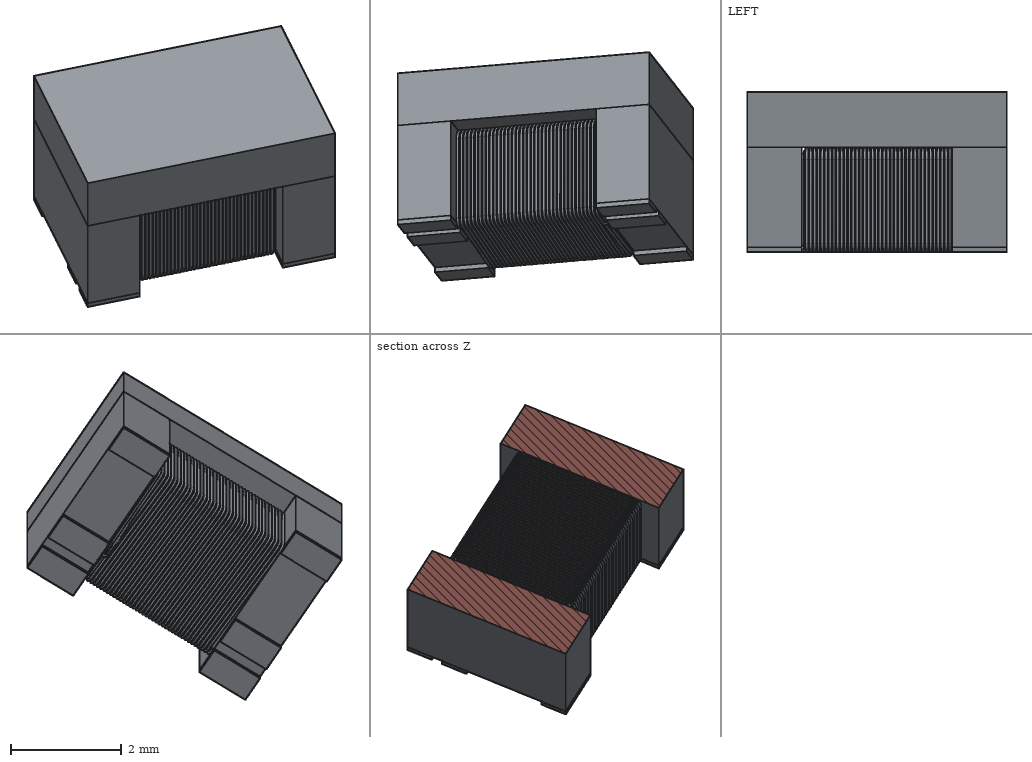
import cadquery as cq
import math

WIDTH = 3.22
LENGTH = 4.7
HEIGHT = 2.9

COVER_HEIGHT = 1.0
FLANGE_LENGTH = 0.99
PAD_WIDTH = 0.5
PAD_GAP = 0.2
PAD_HEIGHT = 0.09
BAR_WIDTH = 2.34
BAR_BOTTOM = 0.105
BAR_TOP = 1.79
BAR_BOTTOM_RADIUS = 0.055
BAR_TOP_RADIUS = 0.115

WIRE_DIAMETER = 0.05
TURN_COUNT = 38
LAYER_SPAN = 2.59
OUTER_FIRST_Y = 1.27
LEAD_BEND_RADIUS = 0.04
SHIFT_BEND_REACH = 0.04

CORE_TOP = HEIGHT - COVER_HEIGHT
FLANGE_FACE_Y = LENGTH / 2 - FLANGE_LENGTH
FLANGE_CENTER_Y = (LENGTH - FLANGE_LENGTH) / 2
SIDE_PAD_X = (WIDTH - PAD_WIDTH) / 2
MIDDLE_PAD_X = SIDE_PAD_X - PAD_WIDTH - PAD_GAP
RUN_END_X = BAR_WIDTH / 2 - BAR_BOTTOM_RADIUS
TURN_PITCH = LAYER_SPAN / (TURN_COUNT - 1)
INNER_FIRST_Y = OUTER_FIRST_Y + TURN_PITCH / 2
INNER_OFFSET = WIRE_DIAMETER / 2
OUTER_OFFSET = INNER_OFFSET + WIRE_DIAMETER


def box_on(z_bottom, size_x, size_y, size_z, x=0.0, y=0.0):
    """Box centred at x, y and standing on the level z_bottom."""
    return cq.Workplane("XY", origin=(x, y, z_bottom)).box(
        size_x, size_y, size_z, centered=(True, True, False)
    )


def make_cover():
    """Flat plate lying on top of both flanges."""
    return box_on(CORE_TOP, WIDTH, LENGTH, COVER_HEIGHT)


def make_core():
    """Drum core: two end flanges joined by a bar with rounded long edges."""
    bar = box_on(BAR_BOTTOM, BAR_WIDTH, 2 * FLANGE_FACE_Y, BAR_TOP - BAR_BOTTOM)
    bar = bar.edges("|Y and <Z").fillet(BAR_BOTTOM_RADIUS)
    bar = bar.edges("|Y and >Z").fillet(BAR_TOP_RADIUS)
    core = bar
    for side in (-1, 1):
        flange = box_on(
            PAD_HEIGHT, WIDTH, FLANGE_LENGTH, CORE_TOP - PAD_HEIGHT, y=side * FLANGE_CENTER_Y
        )
        core = core.union(flange)
    return core


def make_pad(x, y):
    """Terminal pad under a flange."""
    return box_on(0, PAD_WIDTH, FLANGE_LENGTH, PAD_HEIGHT, x, y)


def corner_arc(center_x, center_z, y, radius, x_sign, z_sign, upward):
    """Quarter circle around one corner of the bar, travelled upward or downward."""
    diagonal = radius * math.sqrt(0.5)
    side_point = cq.Vector(center_x + x_sign * radius, y, center_z)
    middle = cq.Vector(center_x + x_sign * diagonal, y, center_z + z_sign * diagonal)
    level_point = cq.Vector(center_x, y, center_z + z_sign * radius)
    starts_level = (z_sign < 0) == upward
    start, end = (level_point, side_point) if starts_level else (side_point, level_point)
    return cq.Edge.makeThreePointArc(start, middle, end)


def turn_rise(y, offset):
    """Part of a turn from the bottom of the -X side, over the bar, to the bottom of the +X side."""
    low_radius = BAR_BOTTOM_RADIUS + offset
    high_radius = BAR_TOP_RADIUS + offset
    high_x = BAR_WIDTH / 2 - BAR_TOP_RADIUS
    low_z = BAR_BOTTOM + BAR_BOTTOM_RADIUS
    high_z = BAR_TOP - BAR_TOP_RADIUS
    side_x = BAR_WIDTH / 2 + offset
    top_z = BAR_TOP + offset
    return [
        corner_arc(-RUN_END_X, low_z, y, low_radius, -1, -1, True),
        cq.Edge.makeLine(cq.Vector(-side_x, y, low_z), cq.Vector(-side_x, y, high_z)),
        corner_arc(-high_x, high_z, y, high_radius, -1, 1, True),
        cq.Edge.makeLine(cq.Vector(-high_x, y, top_z), cq.Vector(high_x, y, top_z)),
        corner_arc(high_x, high_z, y, high_radius, 1, 1, False),
        cq.Edge.makeLine(cq.Vector(side_x, y, high_z), cq.Vector(side_x, y, low_z)),
        corner_arc(RUN_END_X, low_z, y, low_radius, 1, -1, False),
    ]


def bottom_run(start_y, end_y, offset):
    """Run under the bar toward -X: a slanted straight between two gentle bends."""
    run_z = BAR_BOTTOM - offset
    corner_x = RUN_END_X - SHIFT_BEND_REACH
    slant = math.atan2(start_y - end_y, 2 * corner_x)
    reach_x = SHIFT_BEND_REACH * math.cos(slant)
    reach_y = SHIFT_BEND_REACH * math.sin(slant)
    run_start = cq.Vector(RUN_END_X, start_y, run_z)
    slant_start = cq.Vector(corner_x - reach_x, start_y - reach_y, run_z)
    slant_end = cq.Vector(reach_x - corner_x, end_y + reach_y, run_z)
    run_end = cq.Vector(-RUN_END_X, end_y, run_z)
    slant_direction = slant_end - slant_start
    return [
        cq.Edge.makeTangentArc(run_start, cq.Vector(-1, 0, 0), slant_start),
        cq.Edge.makeLine(slant_start, slant_end),
        cq.Edge.makeTangentArc(slant_end, slant_direction, run_end),
    ]


def straight_start(first_y, offset):
    """Plain first run under the bar."""
    run_z = BAR_BOTTOM - offset
    run_start = cq.Vector(RUN_END_X, first_y, run_z)
    run_end = cq.Vector(-RUN_END_X, first_y, run_z)
    return [cq.Edge.makeLine(run_start, run_end)]


def lead_start(first_y, offset):
    """First run that comes out of the middle pad's end face and bends under the bar."""
    run_z = BAR_BOTTOM - offset
    bend_y = first_y + LEAD_BEND_RADIUS
    bend_x = MIDDLE_PAD_X - LEAD_BEND_RADIUS
    diagonal = LEAD_BEND_RADIUS * math.sqrt(0.5)
    pad_point = cq.Vector(MIDDLE_PAD_X, FLANGE_FACE_Y, run_z)
    bend_start = cq.Vector(MIDDLE_PAD_X, bend_y, run_z)
    bend_middle = cq.Vector(bend_x + diagonal, bend_y - diagonal, run_z)
    bend_end = cq.Vector(bend_x, first_y, run_z)
    return [
        cq.Edge.makeLine(pad_point, bend_start),
        cq.Edge.makeThreePointArc(bend_start, bend_middle, bend_end),
        cq.Edge.makeLine(bend_end, cq.Vector(-RUN_END_X, first_y, run_z)),
    ]


def make_coil(start_edges, first_y, offset):
    """One continuous wire wound around the bar, advancing toward -Y under the bar."""
    edges = start_edges + turn_rise(first_y, offset)
    for turn in range(1, TURN_COUNT):
        y = first_y - turn * TURN_PITCH
        edges += bottom_run(y + TURN_PITCH, y, offset)
        edges += turn_rise(y, offset)
    path = cq.Wire.assembleEdges(edges)
    profile_plane = cq.Plane(
        origin=edges[0].startPoint().toTuple(), normal=edges[0].tangentAt(0).toTuple()
    )
    profile = cq.Workplane(profile_plane).circle(WIRE_DIAMETER / 2)
    return profile.sweep(cq.Workplane(path))


cover = make_cover()
core = make_core()
pads = [
    make_pad(x, y)
    for y in (-FLANGE_CENTER_Y, FLANGE_CENTER_Y)
    for x in (-SIDE_PAD_X, MIDDLE_PAD_X, SIDE_PAD_X)
]
inner_coil = make_coil(straight_start(INNER_FIRST_Y, INNER_OFFSET), INNER_FIRST_Y, INNER_OFFSET)
outer_coil = make_coil(lead_start(OUTER_FIRST_Y, OUTER_OFFSET), OUTER_FIRST_Y, OUTER_OFFSET)

result = cq.Compound.makeCompound(
    [cover.val(), core.val(), *[pad.val() for pad in pads], inner_coil.val(), outer_coil.val()]
)